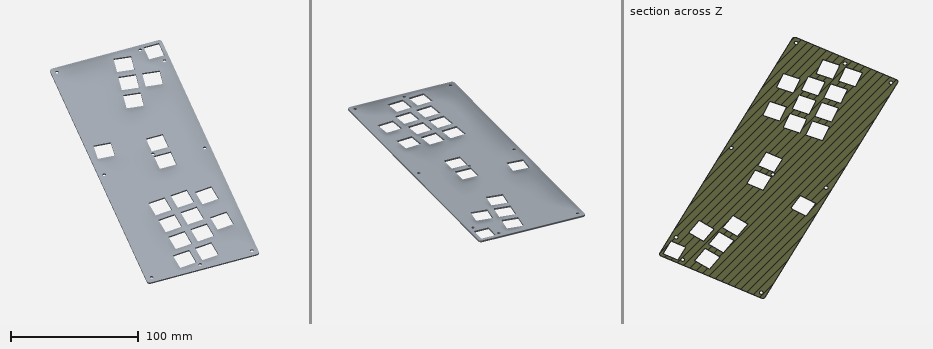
import cadquery as cq
import math

UNIT = 19.05

PLATE_LENGTH = 12.25 * UNIT
PLATE_WIDTH = 4.875 * UNIT
PLATE_THICKNESS = 1.58
CORNER_RADIUS = 2.3

SWITCH_SIZE = 14.0

LEFT_ORIGIN = (14.3, 57.05)
LEFT_ANGLE = -8.0
LEFT_KEYS = [(0, 0), (1, 0), (2, 0), (1, 1)]

RIGHT_ORIGIN = (160.15, 54.3)
RIGHT_ANGLE = 5.0
RIGHT_KEYS = [(column, row) for column in range(3) for row in (0, -1)]
RIGHT_KEYS += [(3, -0.25), (3, -1.25)]
RIGHT_KEYS += [(0.25, 1), (1.75, 1)]

MIDDLE_ORIGIN = (99.3, 54.8)
MIDDLE_ANGLE = 0.0
MIDDLE_KEYS = [(0, 0), (1, 0)]

THUMB_ORIGIN = (93.2, 12.95)
THUMB_ANGLE = -5.0
THUMB_KEYS = [(0, 0)]

CORNER_OPENING_LENGTH = 13.3
CORNER_OPENING_WIDTH = 12.8
CORNER_OPENING_CENTER = (9.6, 83.6)

HOLE_DIAMETER = 2.7
HOLE_INSET = UNIT / 4
LEFT_X = HOLE_INSET
RIGHT_X = PLATE_LENGTH - HOLE_INSET
BOTTOM_Y = HOLE_INSET
TOP_Y = PLATE_WIDTH - HOLE_INSET
OPENING_SIDE_HOLE_X = 21.4
OPENING_LOWER_HOLE_Y = 73.85
RIGHT_EDGE_HOLE_Y = 45.2
MIDDLE_HOLE_CENTER = (109.0, 47.7)
HOLE_CENTERS = [
    (LEFT_X, BOTTOM_Y),
    (PLATE_LENGTH / 2, BOTTOM_Y),
    (RIGHT_X, BOTTOM_Y),
    (PLATE_LENGTH / 2, TOP_Y),
    (RIGHT_X, TOP_Y),
    (OPENING_SIDE_HOLE_X, TOP_Y),
    (LEFT_X, OPENING_LOWER_HOLE_Y),
    (RIGHT_X, RIGHT_EDGE_HOLE_Y),
    MIDDLE_HOLE_CENTER,
]


def make_plate():
    """Flat plate with rounded corners."""
    plate = cq.Workplane("XY").box(PLATE_LENGTH, PLATE_WIDTH, PLATE_THICKNESS, centered=False)
    return plate.edges("|Z").fillet(CORNER_RADIUS)


def opening(length, width, center, angle=0.0):
    """Through-thickness cutter, turned by angle about its own center."""
    cutter = cq.Workplane("XY").rect(length, width).extrude(PLATE_THICKNESS)
    turned = cutter.rotate((0, 0, 0), (0, 0, 1), angle)
    return turned.translate((center[0], center[1], 0))


def key_centers(origin, angle, keys):
    """Centers of keys placed on a unit grid that is turned about its origin."""
    cos_a = math.cos(math.radians(angle))
    sin_a = math.sin(math.radians(angle))
    return [
        (
            origin[0] + UNIT * (column * cos_a - row * sin_a),
            origin[1] + UNIT * (column * sin_a + row * cos_a),
        )
        for column, row in keys
    ]


def cut_keys(plate, origin, angle, keys):
    """Cut one cluster of switch openings."""
    for center in key_centers(origin, angle, keys):
        plate = plate.cut(opening(SWITCH_SIZE, SWITCH_SIZE, center, angle))
    return plate


def cut_screw_holes(plate):
    """Drill the plain screw holes through the plate."""
    drills = (
        cq.Workplane("XY")
        .pushPoints(HOLE_CENTERS)
        .circle(HOLE_DIAMETER / 2)
        .extrude(PLATE_THICKNESS)
    )
    return plate.cut(drills)


result = make_plate()
result = cut_keys(result, LEFT_ORIGIN, LEFT_ANGLE, LEFT_KEYS)
result = cut_keys(result, RIGHT_ORIGIN, RIGHT_ANGLE, RIGHT_KEYS)
result = cut_keys(result, MIDDLE_ORIGIN, MIDDLE_ANGLE, MIDDLE_KEYS)
result = cut_keys(result, THUMB_ORIGIN, THUMB_ANGLE, THUMB_KEYS)
result = result.cut(opening(CORNER_OPENING_LENGTH, CORNER_OPENING_WIDTH, CORNER_OPENING_CENTER))
result = cut_screw_holes(result)